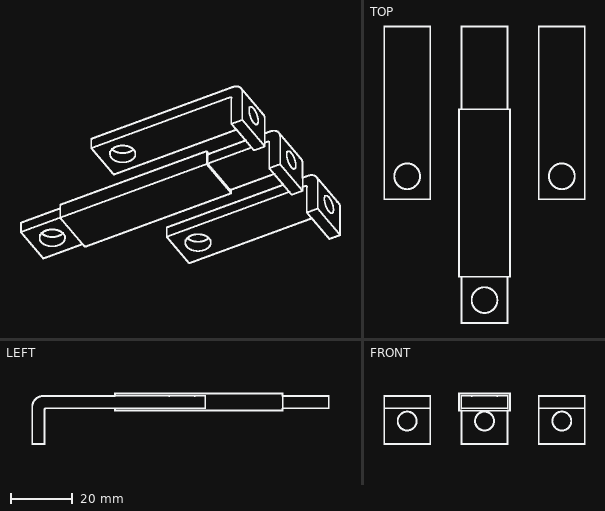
import cadquery as cq

bar_width = 15.0
bar_thickness = 4.0
overall_width = 65.0
bar_pitch = (overall_width - bar_width) / 2
long_length = 96.0
short_length = 56.0
leg_height = 15.6
outer_bend_radius = 3.6
inner_bend_radius = 0.5
bar_hole_diameter = 8.3
leg_hole_diameter = 6.0
hole_inset = bar_width / 2
sleeve_wall = 0.8
sleeve_back_gap = 26.8
sleeve_front_gap = bar_width


def bent_bar(length, center_x):
    """L-shaped bar with its leg's back face at Y = 0 and its top at Z = 0."""
    bar = (
        cq.Workplane("YZ")
        .polyline([
            (0, 0),
            (-length, 0),
            (-length, -bar_thickness),
            (-bar_thickness, -bar_thickness),
            (-bar_thickness, -leg_height),
            (0, -leg_height),
        ])
        .close()
        .extrude(bar_width / 2, both=True)
    )
    bar = bar.edges("|X").edges(">Y and >Z").fillet(outer_bend_radius)
    inner_corner = cq.selectors.NearestToPointSelector((0, -bar_thickness, -bar_thickness))
    bar = bar.edges(inner_corner).fillet(inner_bend_radius)

    bar_hole = (
        cq.Workplane("XY", origin=(0, hole_inset - length, -bar_thickness))
        .circle(bar_hole_diameter / 2)
        .extrude(bar_thickness)
    )
    leg_hole = (
        cq.Workplane("XZ", origin=(0, 0, hole_inset - leg_height))
        .circle(leg_hole_diameter / 2)
        .extrude(bar_thickness)
    )
    return bar.cut(bar_hole).cut(leg_hole).translate((center_x, 0, 0))


def sleeved_bar():
    """Long bent bar with a thicker rectangular section along its middle."""
    sleeve_length = long_length - sleeve_back_gap - sleeve_front_gap
    sleeve = cq.Workplane("XY").box(
        bar_width + 2 * sleeve_wall,
        sleeve_length,
        bar_thickness + 2 * sleeve_wall,
    ).translate((0, -sleeve_back_gap - sleeve_length / 2, -bar_thickness / 2))
    return bent_bar(long_length, 0).union(sleeve)


long_bar = sleeved_bar()
short_bars = [bent_bar(short_length, side * bar_pitch) for side in (-1, 1)]

result = cq.Compound.makeCompound([long_bar.val(), *[bar.val() for bar in short_bars]])